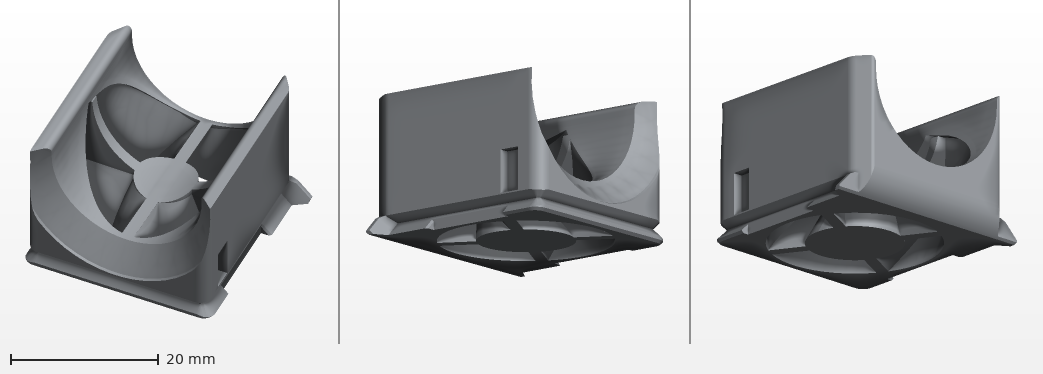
import cadquery as cq
import math

height = 20.0
length = 29.6
half_width = 13.5
front_corner_radius = 2.0

rear_bevel_x = 1.75
rear_bevel_y = 2.5
rear_bevel_outer_radius = 2.0
rear_bevel_inner_radius = 0.6
rear_heel_height = 4.0
rear_heel_depth = 2.0

trough_radius = 11.2
trough_axis_z = 18.2
trough_rim_radius = 1.0
flare_depth = 3.55
flare_rim_depth = 0.35
flare_rim_inner_radius = 14.65
flare_rim_outer_radius = 14.8

groove_depth = 1.07
groove_z = 2.0
groove_top_z = groove_z + groove_depth
groove_end_y = 26.9
neck_half_width = half_width - groove_depth
neck_corner_chamfer = 0.35

front_foot_half_width = 14.12
front_foot_end_y = 6.0
front_foot_radius = 1.8
front_toe_chamfer = 0.4
recess_half_width = 12.92
rear_foot_half_width = neck_half_width + groove_z
rear_foot_start_y = 19.0
rear_foot_chamfer = 0.32

tab_root_x = 11.0
tab_tip_x = 16.49
tab_tip_z = 0.55
tab_tip_lean = 0.2
tab_shoulder_x = 14.4
tab_front_y = 25.7
tab_ridge_y = 27.35
tab_rear_y = 27.97

pocket_depth = 1.45
pocket_y = (3.8, 6.85)
pocket_z = (3.27, 9.3)

duct_radius = 12.1
duct_base_y = 13.4
duct_slope = 0.49
duct_widening = 0.05
duct_roof_y = (0.0, 18.7, 25.4, 28.9)
duct_roof_z = (22.0, 16.9, 13.1, 7.4)

hub_base_radius = 6.8
hub_top_radius = 4.4
hub_top_y = 16.3
hub_top_z = trough_axis_z - trough_radius
spoke_count = 4
spoke_waist_width = 1.75
spoke_top_width = 1.35
spoke_foot_twist = 29.0
spoke_waist_twist = -1.0
spoke_top_twist = -5.0
spoke_top_z = 17.0

margin = 1.0
clear = 40.0


def block(x, y, z):
    """Box given by its (low, high) limits along each axis."""
    size = (x[1] - x[0], y[1] - y[0], z[1] - z[0])
    return cq.Workplane("XY").box(*size, centered=False).translate((x[0], y[0], z[0]))


def both_sides(solid):
    return solid.union(solid.mirror("YZ"))


def make_body():
    bevel_x = half_width - rear_bevel_x
    bevel_y = length - rear_bevel_y
    body = (
        cq.Workplane("XY")
        .polyline([
            (-half_width, 0), (half_width, 0), (half_width, bevel_y), (bevel_x, length),
            (-bevel_x, length), (-half_width, bevel_y),
        ])
        .close()
        .extrude(height)
    )
    corners = (
        (0, margin, front_corner_radius),
        (bevel_y - margin, bevel_y + margin, rear_bevel_outer_radius),
        (length - margin, length + margin, rear_bevel_inner_radius),
    )
    for low, high, radius in corners:
        zone = cq.selectors.BoxSelector((-clear, low - margin, -clear), (clear, high, clear))
        body = body.edges("|Z").edges(zone).fillet(radius)
    return body


def make_heel_cutter():
    """Rounds the lower rear edge with an arc that starts upright on the rear face."""
    radius = (rear_heel_height**2 + rear_heel_depth**2) / (2 * rear_heel_depth)
    half_angle = math.asin(rear_heel_height / radius) / 2
    mid = (
        length - radius + radius * math.cos(half_angle),
        rear_heel_height - radius * math.sin(half_angle),
    )
    return (
        cq.Workplane("YZ")
        .moveTo(length, rear_heel_height)
        .threePointArc(mid, (length - rear_heel_depth, 0))
        .lineTo(length - rear_heel_depth, -margin)
        .lineTo(length + margin, -margin)
        .lineTo(length + margin, rear_heel_height)
        .close()
        .extrude(clear, both=True)
    )


def make_neck_flank(rise):
    """Frustum that widens at 45 degrees from the groove bottom; negative rise goes down."""
    corner_x = neck_half_width - neck_corner_chamfer
    corner_y = groove_depth + neck_corner_chamfer
    end_y = length + 2 * groove_z
    flank = (
        cq.Workplane("XY", origin=(0, 0, groove_z))
        .polyline([
            (-corner_x, groove_depth), (corner_x, groove_depth), (neck_half_width, corner_y),
            (neck_half_width, end_y), (-neck_half_width, end_y), (-neck_half_width, corner_y),
        ])
        .close()
        .extrude(rise, taper=-45)
    )
    return flank.intersect(block((-clear, clear), (0, groove_end_y), (0, height)))


def make_foot_outline():
    """Vertical prism that bounds the front feet and the recessed middle of the flange."""
    front = block((-front_foot_half_width, front_foot_half_width), (0, front_foot_end_y), (0, groove_z))
    front = front.edges("|Z and <Y").fillet(front_foot_radius)
    front = front.faces("<Y").edges("<Z").chamfer(front_toe_chamfer)
    middle = block((-recess_half_width, recess_half_width), (front_foot_end_y, length), (0, groove_z))
    return front.union(middle)


def make_base(body):
    """Housing with its lower edge replaced by the groove and the flange."""
    lower_band = block((-clear, clear), (-margin, groove_end_y), (-margin, groove_top_z))
    upper_flank = make_neck_flank(groove_depth)
    rounding = block((-half_width, half_width), (0, clear), (0, groove_top_z))
    upper_flank = upper_flank.intersect(rounding.edges("|Z and <Y").fillet(front_corner_radius))
    flange = make_neck_flank(-groove_z).intersect(make_foot_outline())
    return body.cut(lower_band).union(upper_flank).union(flange)


def make_rear_feet():
    """Rear feet and snap tabs: one outline carried up a 45 degree slope, clipped to the tab's section."""
    tab_reach = tab_tip_x + tab_tip_z
    corners = (
        (0, rear_foot_start_y),
        (rear_foot_half_width - rear_foot_chamfer, rear_foot_start_y),
        (rear_foot_half_width, rear_foot_start_y + rear_foot_chamfer),
        (rear_foot_half_width, tab_front_y),
        (tab_reach, tab_ridge_y),
        (tab_reach, tab_rear_y),
        (0, tab_rear_y),
    )
    outline = cq.Wire.makePolygon([cq.Vector(x, y, 0) for x, y in corners], close=True)
    slope = cq.Vector(-groove_top_z, 0, groove_top_z)
    slanted = cq.Workplane(cq.Solid.extrudeLinear(outline, [], slope))
    section = (
        cq.Workplane("XZ")
        .polyline([
            (tab_root_x, 0), (tab_tip_x - tab_tip_lean, 0), (tab_tip_x, tab_tip_z),
            (tab_shoulder_x, tab_reach - tab_shoulder_x), (half_width, groove_top_z),
            (tab_root_x, groove_top_z),
        ])
        .close()
        .extrude(-length)
    )
    return both_sides(slanted.intersect(section))


def make_pockets():
    return both_sides(block((half_width - pocket_depth, half_width + margin), pocket_y, pocket_z))


def make_trough():
    rim_x = trough_radius + trough_rim_radius
    rim_z = height - trough_rim_radius
    corner = trough_rim_radius * (1 - math.sqrt(0.5))
    upper = (
        cq.Workplane("XZ")
        .moveTo(0, trough_axis_z)
        .lineTo(trough_radius, trough_axis_z)
        .lineTo(trough_radius, rim_z)
        .threePointArc((trough_radius + corner, height - corner), (rim_x, height))
        .lineTo(rim_x, height + margin)
        .lineTo(0, height + margin)
        .close()
        .extrude(-clear)
    )
    lower = cq.Workplane("XZ", origin=(0, 0, trough_axis_z)).circle(trough_radius).extrude(-clear)
    return lower.union(both_sides(upper))


def make_flare():
    return (
        cq.Workplane("YZ", origin=(0, 0, trough_axis_z))
        .polyline([
            (0, 0), (0, flare_rim_outer_radius), (flare_rim_depth, flare_rim_inner_radius),
            (flare_depth, trough_radius), (flare_depth, 0),
        ])
        .close()
        .revolve(360, (0, 0), (1, 0))
    )


def make_duct():
    duct = (
        cq.Workplane("XY", origin=(0, duct_base_y, 0))
        .circle(duct_radius)
        .workplane(offset=height)
        .center(0, duct_slope * height)
        .circle(duct_radius + duct_widening * height)
        .loft(ruled=True)
    )
    front, arc_start, arc_mid, arc_end = zip(duct_roof_y, duct_roof_z)
    below_roof = (
        cq.Workplane("YZ")
        .moveTo(0, 0)
        .lineTo(*front)
        .lineTo(*arc_start)
        .threePointArc(arc_mid, arc_end)
        .lineTo(arc_end[0], 0)
        .close()
        .extrude(clear, both=True)
    )
    return duct.intersect(below_roof)


def make_hub():
    lower = (
        cq.Workplane("XY", origin=(0, duct_base_y, 0))
        .circle(hub_base_radius)
        .workplane(offset=hub_top_z)
        .center(0, hub_top_y - duct_base_y)
        .circle(hub_top_radius)
        .loft(ruled=True)
    )
    top_plane = cq.Workplane("XY", origin=(0, hub_top_y, hub_top_z))
    upper = top_plane.circle(hub_top_radius).extrude(height - hub_top_z)
    return lower.union(upper)


def spoke_wire(center_y, z, angle, width):
    plane = cq.Plane(origin=(0, center_y, z)).rotated((0, 0, angle))
    return cq.Workplane(plane).center(length / 4, 0).rect(length / 2, width).wires().val()


def make_spoke(angle):
    foot = spoke_wire(duct_base_y, 0, angle + spoke_foot_twist, spoke_waist_width)
    waist = spoke_wire(hub_top_y, hub_top_z, angle + spoke_waist_twist, spoke_waist_width)
    top = spoke_wire(hub_top_y, spoke_top_z, angle + spoke_top_twist, spoke_top_width)
    lower = cq.Workplane(cq.Solid.makeLoft([foot, waist], True))
    upper = cq.Workplane(cq.Solid.makeLoft([waist, top], True))
    return lower.union(upper)


def make_hub_and_spokes():
    spider = make_hub()
    for index in range(spoke_count):
        spider = spider.union(make_spoke(index * 360 / spoke_count))
    return spider


housing = make_base(make_body()).union(make_rear_feet())
housing = housing.cut(make_heel_cutter()).cut(make_pockets())
air_space = make_duct().cut(make_hub_and_spokes())
result = housing.cut(air_space).cut(make_trough()).cut(make_flare())